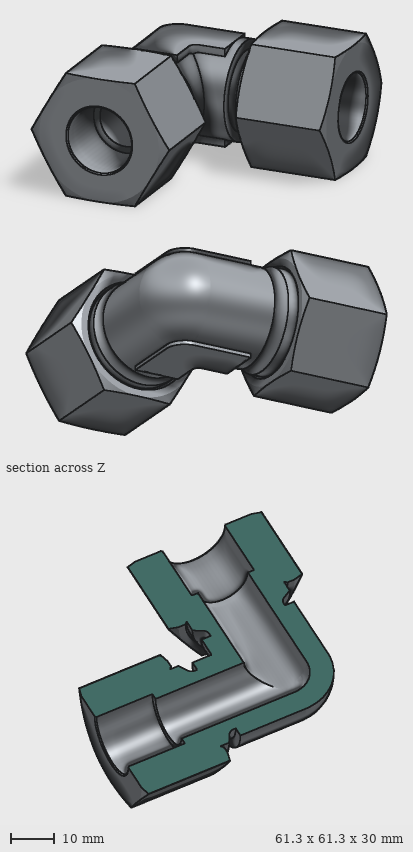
import cadquery as cq
import math

body_radius = 24.0 / 2
body_reach = 16.9
bore_radius = 12.8 / 2

neck_radius = 19.3 / 2
neck_reach = 17.5
flare_fillet = 1.65
flare_angle = math.radians(60)
collar_radius = 25.25 / 2

across_flats = 30.0
across_corners = across_flats / math.cos(math.radians(30))
branch_reach = 61.3 - across_corners / 2
x_nut_start = 21.7
y_nut_start = 22.45
nut_chamfer_angle = 15
countersink_radius = 26.35 / 2
countersink_depth = countersink_radius - collar_radius

socket_radius = 16.0 / 2
socket_depth = 14.7
socket_mouth_radius = 16.7 / 2
socket_mouth_depth = socket_mouth_radius - socket_radius

pad_outer = 4.7
pad_inner = 6.45
pad_reach = 14.7
pad_inner_radius = 1.85


def revolve_about_x(points):
    """Solid of revolution from (distance along X, radius) points."""
    return cq.Workplane("XY").polyline(points).close().revolve(360, (0, 0, 0), (1, 0, 0))


def to_minus_y(solid):
    """Turn a branch lying along +X so that it lies along -Y."""
    return solid.rotate((0, 0, 0), (0, 0, 1), -90)


def make_stem(nut_start):
    """Body cylinder, neck, filleted flare and collar, reaching into the nut."""
    def fillet_point(angle):
        reach = neck_reach + flare_fillet * math.sin(angle)
        radius = neck_radius + flare_fillet * (1 - math.cos(angle))
        return reach, radius

    cone_start, cone_radius = fillet_point(flare_angle)
    collar_start = cone_start + (collar_radius - cone_radius) / math.tan(flare_angle)
    stem_end = nut_start + 2 * countersink_depth
    profile = (
        cq.Workplane("XY")
        .lineTo(0, body_radius)
        .lineTo(body_reach, body_radius)
        .lineTo(body_reach, neck_radius)
        .lineTo(neck_reach, neck_radius)
        .threePointArc(fillet_point(flare_angle / 2), (cone_start, cone_radius))
        .lineTo(collar_start, collar_radius)
        .lineTo(stem_end, collar_radius)
        .lineTo(stem_end, 0)
        .close()
    )
    return profile.revolve(360, (0, 0, 0), (1, 0, 0))


def make_nut(nut_start):
    """Hexagon with corners on +Y and -Y, chamfered, with a countersink around the collar."""
    hexagon = (
        cq.Workplane("YZ", origin=(nut_start, 0, 0))
        .polygon(6, across_corners)
        .extrude(branch_reach - nut_start)
    )
    face_radius = across_flats / 2
    corner_radius = across_corners / 2
    chamfer_length = (corner_radius - face_radius) * math.tan(math.radians(nut_chamfer_angle))
    chamfer_envelope = revolve_about_x([
        (nut_start, 0),
        (nut_start, face_radius),
        (nut_start + chamfer_length, corner_radius),
        (branch_reach - chamfer_length, corner_radius),
        (branch_reach, face_radius),
        (branch_reach, 0),
    ])
    countersink = revolve_about_x([
        (nut_start, 0),
        (nut_start, countersink_radius),
        (nut_start + countersink_depth, collar_radius),
        (nut_start + countersink_depth, 0),
    ])
    return hexagon.intersect(chamfer_envelope).cut(countersink)


def make_passage():
    """Bore, tube socket and chamfered mouth of one branch."""
    socket_floor = branch_reach - socket_depth
    return revolve_about_x([
        (0, 0),
        (0, bore_radius),
        (socket_floor, bore_radius),
        (socket_floor, socket_radius),
        (branch_reach - socket_mouth_depth, socket_radius),
        (branch_reach, socket_mouth_radius),
        (branch_reach, 0),
    ])


def make_pads():
    """L-shaped block whose ends form the two pads."""
    block = (
        cq.Workplane("XY", origin=(0, 0, -body_radius))
        .moveTo(-pad_outer, 0)
        .radiusArc((0, pad_outer), pad_outer)
        .lineTo(pad_reach, pad_outer)
        .lineTo(pad_reach, -pad_inner)
        .lineTo(pad_inner, -pad_inner)
        .lineTo(pad_inner, -pad_reach)
        .lineTo(-pad_outer, -pad_reach)
        .close()
        .extrude(2 * body_radius)
    )
    inner_corner = cq.selectors.NearestToPointSelector((pad_inner, -pad_inner, 0))
    return block.edges(inner_corner).fillet(pad_inner_radius)


def make_branch(nut_start):
    return make_stem(nut_start).union(make_nut(nut_start))


outside = (
    cq.Workplane("XY").sphere(body_radius)
    .union(make_branch(x_nut_start))
    .union(to_minus_y(make_branch(y_nut_start)))
    .union(make_pads())
)
passage = make_passage()
result = (
    outside
    .cut(cq.Workplane("XY").sphere(bore_radius))
    .cut(passage)
    .cut(to_minus_y(passage))
)